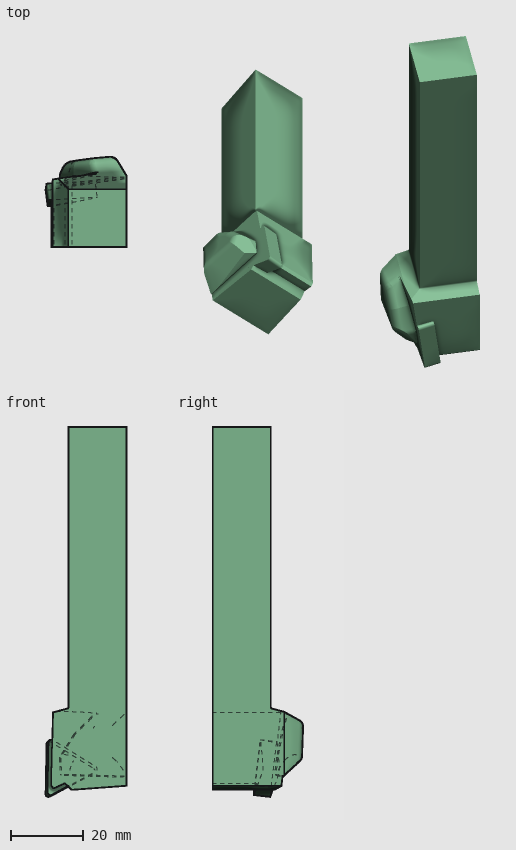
import cadquery as cq
import math

shank_side = 16.0
total_height = 101.6
shank_overlap = 5.1

shoulder_z = 24.4
shoulder_slope = 0.27
shoulder_fillet = 0.4
fillet_search_margin = 0.1
side_reach = 4.3
side_bottom_x, side_bottom_z = -4.8, 3.1
corner_x, corner_z = -4.1, 2.3
notch_x, notch_z = -1.0, 3.8
heel_x, heel_z = 0.9, 1.9
back_bottom_z = 3.0
head_depth = 30.5

seat_offset = 16.5
seat_slope_x = 0.13
seat_slope_z = 0.117
seat = cq.Plane(
    origin=(0, seat_offset, 0),
    xDir=(1, seat_slope_x, 0),
    normal=(-seat_slope_x, 1, -seat_slope_z),
)

inscribed_diameter = 9.5
insert_side = inscribed_diameter * math.sqrt(3)
insert_thickness = 4.6
nose_radius = 0.8
insert_turn = 2.0
insert_tip_x, insert_tip_z = -6.4, -0.57

hump_height = 8.1
hump_draft = 10.0
hump_foot_height = 0.4
hump_foot_draft = 35.0
hump_top_fillet = 2.5
hump_corner_fillet = 2.2
hump_end_x = 18.3
hump_bottom_z = 5.5
hump_crown_z = 23.9
hump_outline = [
    (hump_end_x, hump_bottom_z),
    (-2.1, 6.1),
    (-2.3, 11.1),
    (1.7, 17.5),
    (8.3, hump_crown_z),
    (hump_end_x, hump_crown_z),
]
crown_edge_point = (8.1, 21.3, 22.9)
nose_edge_point = (-1.0, 19.8, 11.2)

crown_facet = (shank_side, 19.8, 23.3), (0, 0.55, 1)
nose_facet = (-2.2, 17.3, 6.4), (-1.3, 1, -0.7)
underside_facet = (12.2, 19.7, 6.0), (0, 0.92, -1)
back_facet = (shank_side, 19.6, 15.2), (1, 0.6, 0)
side_facet = (shank_side, 0, 0), (1, 0, 0)
top_facet = (9.1, 24.6, 17.3), (-0.09, 1, -0.04)
shoulder_facet = (0, shank_side, shoulder_z), (0, shoulder_slope, 1)
seat_facet = seat.origin, seat.zDir

cutter_size = 121.9


def trim(body, facets):
    """Remove everything on the outer side of each facet."""
    for point, normal in facets:
        outside = cq.Workplane(cq.Plane(origin=point, normal=normal))
        outside = outside.rect(cutter_size, cutter_size).extrude(cutter_size)
        body = body.cut(outside)
    return body


def on_seat(points):
    """(X, Z) points as seat plane points; the local Y axis of the seat runs down."""
    return [(x, -z) for x, z in points]


def make_insert():
    triangle_height = insert_side * math.sqrt(3) / 2
    corners = [(0, 0), (0, insert_side), (triangle_height, insert_side / 2)]
    insert = (
        cq.Workplane(seat)
        .transformed(rotate=(0, 0, insert_turn), offset=(insert_tip_x, -insert_tip_z, 0))
        .polyline(on_seat(corners))
        .close()
        .extrude(-insert_thickness)
    )
    return insert.edges(cq.selectors.ParallelDirSelector(seat.zDir)).fillet(nose_radius)


def make_head():
    outline = [
        (shank_side, back_bottom_z),
        (shank_side, shoulder_z),
        (0, shoulder_z),
        (-side_reach, shoulder_z - shoulder_slope * side_reach),
        (side_bottom_x, side_bottom_z),
        (corner_x, corner_z),
        (notch_x, notch_z),
        (heel_x, heel_z),
    ]
    head = cq.Workplane("XZ").polyline(outline).close().extrude(-head_depth)
    return trim(head, [shoulder_facet, seat_facet, crown_facet, back_facet])


def make_shank():
    root_z = shoulder_z - shank_overlap
    shank = cq.Workplane("XY").workplane(offset=root_z)
    shank = shank.rect(shank_side, shank_side, centered=False)
    return shank.extrude(total_height - root_z)


def hump_sketch():
    """Closed hump outline at the level where the foot meets the drafted sides."""
    foot_top = cq.Workplane(seat).workplane(offset=hump_foot_height)
    return foot_top.polyline(on_seat(hump_outline)).close()


def make_hump():
    side_facets = [nose_facet, underside_facet, crown_facet, back_facet, side_facet]
    hump = hump_sketch().extrude(hump_height, taper=hump_draft)
    hump = trim(hump, side_facets + [top_facet])
    for point in (crown_edge_point, nose_edge_point):
        hump = hump.edges(cq.selectors.NearestToPointSelector(point)).fillet(hump_corner_fillet)
    _, top_normal = top_facet
    top_face = hump.faces(cq.DirectionMinMaxSelector(cq.Vector(*top_normal)))
    hump = top_face.edges().fillet(hump_top_fillet)
    foot = hump_sketch().extrude(-hump_foot_height, taper=hump_foot_draft)
    return hump.union(trim(foot, side_facets))


def make_holder(insert):
    """Shank, head and hump in one piece, with a pocket that fits the insert."""
    holder = make_head().union(make_shank())
    low, high = -fillet_search_margin, shank_side + fillet_search_margin
    shank_foot = cq.selectors.BoxSelector(
        (low, low, shoulder_z - fillet_search_margin),
        (high, high, shoulder_z + fillet_search_margin),
    )
    holder = holder.edges(shank_foot).fillet(shoulder_fillet)
    return holder.union(make_hump()).cut(insert)


insert = make_insert()
holder = make_holder(insert)

result = cq.Compound.makeCompound([holder.solids().val(), insert.val()])